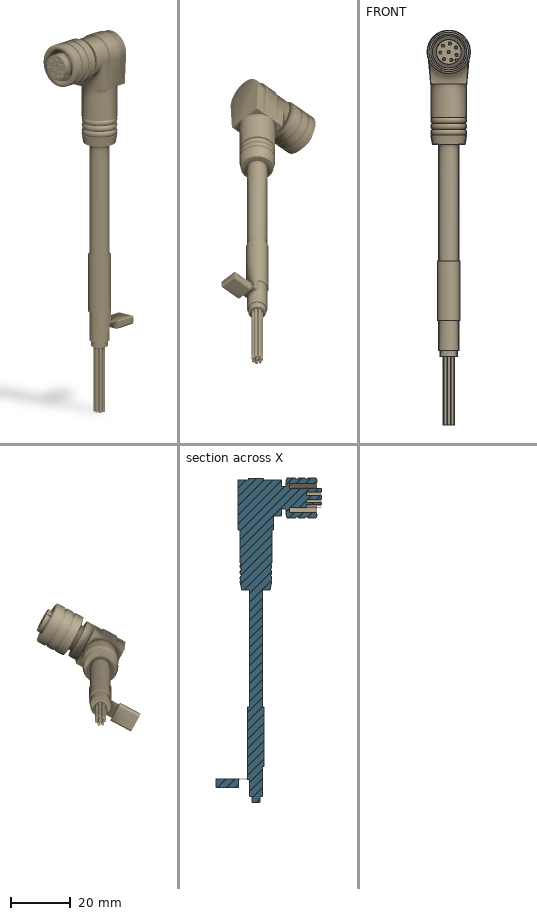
import cadquery as cq
import math


body_back_y = 6.0
band_back_y = 2.6
band_front_y = -2.6
body_front_y = -8.6
nut_back_y = -10.0
nut_front_y = -20.5
socket_tip_y = -22.0
body_dia = 13.2
band_dia = 14.0
neck_dia = 9.2
nut_dia = 14.5
nut_back_dia = 12.0
nut_back_chamfer = 0.4
nut_front_dia = 13.2
nut_front_chamfer = 0.4
nut_groove_places = (-13.7, -16.9)
nut_groove_width = 0.8
nut_groove_depth = 0.35
nut_bore_dia = 10.92
nut_bore_mouth_dia = 12.0
nut_bore_floor_y = -11.3
socket_dia = 8.3

contact_count = 7
contact_dia = 1.0
contact_circle_radius = 2.85
contact_start_angle = 82.0
contact_depth = 5.0
key_dia = 0.9
key_circle_radius = 3.8
key_step = 2.5
key_angle = contact_start_angle - key_step * 360 / contact_count
key_depth = 5.0

housing_bottom_z = -10.75
housing_front_y = -6.0
housing_foot_half_width = 6.0
band_foot_half_width = 6.05

grip_dia = 12.0
grip_bottom_z = -21.9
ridge_count = 3
ridge_pitch = 2.0
ridge_root_dia = 10.92
ridge_bulge = 0.5
stem_end_z = -31.0
stem_end_dia = 10.9
cable_dia = 6.8
cable_end_z = -100.0
sleeve_dia = 7.6
sleeve_top_z = -70.0
sleeve_bottom_z = -90.0
core_dia = 5.8
core_end_z = -102.0

wire_dia = 1.0
wire_circle_radius = 1.45
wire_start_angle = -86.0
wire_end_z = -125.0

tag_back_y = 13.4
tag_front_y = 5.7
tag_top_z = -94.0
tag_height = 3.0
tag_width = 6.6
tag_top_bevel = 0.25
tag_bottom_round = 0.85
strip_width = 5.2
strip_thickness = (sleeve_dia - cable_dia) / 2


def cylinder_y(dia, back, front):
    """Solid cylinder on the socket axis between two Y places."""
    return cq.Workplane("XZ", origin=(0, back, 0)).circle(dia / 2).extrude(back - front)


def cylinder_z(dia, top, bottom):
    """Solid cylinder on the cable axis between two Z places."""
    return cq.Workplane("XY", origin=(0, 0, bottom)).circle(dia / 2).extrude(top - bottom)


def ring_points(count, radius, start_angle):
    """Evenly spaced points on a circle, with one more at its centre."""
    points = [(0, 0)]
    for i in range(count):
        angle = math.radians(start_angle + i * 360 / count)
        points.append((radius * math.cos(angle), radius * math.sin(angle)))
    return points


def skirt(dia, foot_half_width, back, front):
    """Tapered block whose sides run tangent from a round of this diameter down to its foot."""
    radius = dia / 2
    drop = -housing_bottom_z
    reach = math.hypot(foot_half_width, drop)
    angle = math.acos(radius / reach) - math.atan2(drop, foot_half_width)
    side_x = radius * math.cos(angle)
    side_z = radius * math.sin(angle)
    return (
        cq.Workplane("XZ", origin=(0, back, 0))
        .moveTo(-side_x, side_z)
        .lineTo(-foot_half_width, housing_bottom_z)
        .lineTo(foot_half_width, housing_bottom_z)
        .lineTo(side_x, side_z)
        .close()
        .extrude(back - front)
    )


def make_housing():
    housing = cylinder_y(body_dia, body_back_y, body_front_y)
    housing = housing.union(cylinder_y(band_dia, band_back_y, band_front_y))
    housing = housing.union(skirt(body_dia, housing_foot_half_width, body_back_y, housing_front_y))
    return housing.union(skirt(band_dia, band_foot_half_width, band_back_y, band_front_y))


def make_nut():
    nut_radius = nut_dia / 2
    bore_radius = nut_bore_dia / 2
    mouth_radius = nut_bore_mouth_dia / 2
    profile = (
        cq.Workplane("XY")
        .moveTo(0, nut_back_y)
        .lineTo(nut_back_dia / 2, nut_back_y)
        .lineTo(nut_radius, nut_back_y - nut_back_chamfer)
        .lineTo(nut_radius, nut_front_y + nut_front_chamfer)
        .lineTo(nut_front_dia / 2, nut_front_y)
        .lineTo(mouth_radius, nut_front_y)
        .lineTo(bore_radius, nut_front_y + mouth_radius - bore_radius)
        .lineTo(bore_radius, nut_bore_floor_y)
        .lineTo(0, nut_bore_floor_y)
        .close()
    )
    nut = profile.revolve(360, (0, 0, 0), (0, 1, 0))
    for groove_y in nut_groove_places:
        groove_back = groove_y + nut_groove_width / 2
        groove_front = groove_y - nut_groove_width / 2
        groove = cylinder_y(nut_dia, groove_back, groove_front)
        groove_core = cylinder_y(nut_dia - 2 * nut_groove_depth, groove_back, groove_front)
        nut = nut.cut(groove.cut(groove_core))
    return nut


def make_socket():
    socket = cylinder_y(neck_dia, body_front_y, nut_bore_floor_y)
    socket = socket.union(cylinder_y(socket_dia, nut_bore_floor_y, socket_tip_y))
    face = cq.Workplane("XZ", origin=(0, socket_tip_y, 0))
    holes = ring_points(contact_count, contact_circle_radius, contact_start_angle)
    socket = socket.cut(face.pushPoints(holes).circle(contact_dia / 2).extrude(-contact_depth))
    key_x = key_circle_radius * math.cos(math.radians(key_angle))
    key_z = key_circle_radius * math.sin(math.radians(key_angle))
    return socket.cut(face.center(key_x, key_z).circle(key_dia / 2).extrude(-key_depth))


def make_stem():
    """Grip, three rounded ridges and tapered collar, as one turned profile."""
    root = ridge_root_dia / 2
    profile = (
        cq.Workplane("XZ")
        .moveTo(0, housing_bottom_z)
        .lineTo(grip_dia / 2, housing_bottom_z)
        .lineTo(grip_dia / 2, grip_bottom_z)
        .lineTo(root, grip_bottom_z)
    )
    for i in range(ridge_count):
        top = grip_bottom_z - i * ridge_pitch
        profile = profile.threePointArc(
            (root + ridge_bulge, top - ridge_pitch / 2), (root, top - ridge_pitch)
        )
    collar_top = grip_bottom_z - ridge_count * ridge_pitch
    profile = (
        profile.lineTo(grip_dia / 2, collar_top)
        .lineTo(stem_end_dia / 2, stem_end_z)
        .lineTo(0, stem_end_z)
        .close()
    )
    return profile.revolve(360, (0, 0, 0), (0, 1, 0))


def make_cable():
    cable = cylinder_z(cable_dia, stem_end_z, cable_end_z)
    cable = cable.union(cylinder_z(sleeve_dia, sleeve_top_z, sleeve_bottom_z))
    return cable.union(cylinder_z(core_dia, cable_end_z, core_end_z))


def make_wires():
    places = ring_points(contact_count, wire_circle_radius, wire_start_angle)
    wires = cq.Workplane("XY", origin=(0, 0, wire_end_z)).pushPoints(places)
    return wires.circle(wire_dia / 2).extrude(core_end_z - wire_end_z)


def make_tag():
    """Bevelled and rounded label block, with a thin strip to the sleeve and up its back."""
    length = tag_back_y - tag_front_y
    block = cq.Workplane("XY").box(tag_width, length, tag_height)
    block = block.edges("|Y and >Z").chamfer(tag_top_bevel)
    block = block.edges("|Y and <Z").fillet(tag_bottom_round)
    block = block.translate((0, tag_front_y + length / 2, tag_top_z - tag_height / 2))
    strip_bottom = tag_top_z - strip_thickness
    strip = cq.Workplane("XY").box(
        strip_width, tag_front_y, strip_thickness, centered=(True, False, False)
    ).translate((0, 0, strip_bottom))
    window = cq.Workplane("XY").box(
        strip_width, sleeve_dia, sleeve_bottom_z - strip_bottom, centered=(True, False, False)
    ).translate((0, 0, strip_bottom))
    flap = cylinder_z(sleeve_dia, sleeve_bottom_z, strip_bottom).intersect(window)
    return block.union(strip).union(flap)


result = make_housing()
for piece in (make_nut(), make_socket(), make_stem(), make_cable(), make_wires(), make_tag()):
    result = result.union(piece)